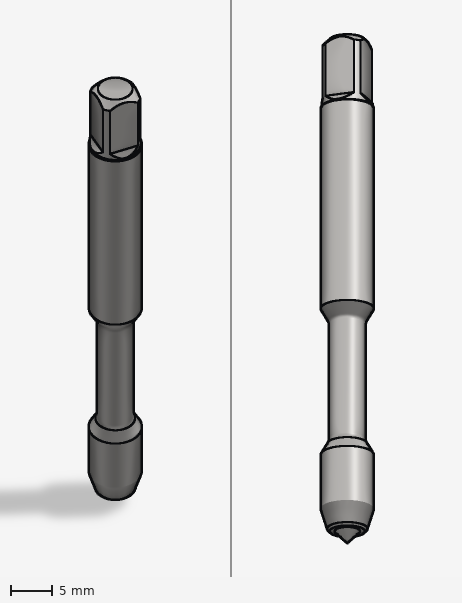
import cadquery as cq
import math

total_length = 65.05
tip_face_z = 1.55
tip_chamfer_z = 1.9
lead_top_z = 4.4
head_top_z = 11.45
shank_bottom_z = 30.3
shank_top_z = 56.2
flats_bottom_z = 57.25

body_radius = 6.5 / 2
neck_radius = 4.55 / 2
tang_radius = 6.25 / 2
tang_top_radius = 4.2 / 2
lead_tip_radius = 2.5
tip_face_radius = 2.15
point_radius = 1.55

square_width = 5.0
runout_angle = math.radians(37)
neck_cone_angle = math.radians(30)
neck_fillet = 1.2

cone_height = (body_radius - neck_radius) / math.tan(neck_cone_angle)
fillet_tangent = neck_fillet * math.tan(neck_cone_angle / 2)
fillet_end_radius = neck_radius + fillet_tangent * math.sin(neck_cone_angle)
fillet_end_offset = cone_height - fillet_tangent * math.cos(neck_cone_angle)
fillet_start_offset = cone_height + fillet_tangent
fillet_mid_radius = neck_radius + neck_fillet * (1 - math.cos(neck_cone_angle / 2))
fillet_mid_offset = fillet_start_offset - neck_fillet * math.sin(neck_cone_angle / 2)

joint_z = head_top_z + fillet_end_offset


def make_head():
    """Cutting head: centre point, tapered lead, cylinder and cone up to the joint."""
    profile = (
        cq.Workplane("XZ")
        .moveTo(0, 0)
        .lineTo(point_radius, tip_face_z)
        .lineTo(tip_face_radius, tip_face_z)
        .lineTo(lead_tip_radius, tip_chamfer_z)
        .lineTo(body_radius, lead_top_z)
        .lineTo(body_radius, head_top_z)
        .lineTo(fillet_end_radius, joint_z)
        .lineTo(0, joint_z)
        .close()
    )
    return profile.revolve(360, (0, 0, 0), (0, 1, 0))


def make_round_shank():
    """Filleted neck, shank and tang before the drive flats are cut."""
    shoulder_chamfer = body_radius - tang_radius
    top_chamfer = tang_radius - tang_top_radius
    profile = (
        cq.Workplane("XZ")
        .moveTo(0, joint_z)
        .lineTo(fillet_end_radius, joint_z)
        .threePointArc(
            (fillet_mid_radius, head_top_z + fillet_mid_offset),
            (neck_radius, head_top_z + fillet_start_offset),
        )
        .lineTo(neck_radius, shank_bottom_z - fillet_start_offset)
        .threePointArc(
            (fillet_mid_radius, shank_bottom_z - fillet_mid_offset),
            (fillet_end_radius, shank_bottom_z - fillet_end_offset),
        )
        .lineTo(body_radius, shank_bottom_z)
        .lineTo(body_radius, shank_top_z)
        .lineTo(tang_radius, shank_top_z + shoulder_chamfer)
        .lineTo(tang_radius, total_length - top_chamfer)
        .lineTo(tang_top_radius, total_length)
        .lineTo(0, total_length)
        .close()
    )
    return profile.revolve(360, (0, 0, 0), (0, 1, 0))


def make_flat_cutter():
    """Wedge that cuts the +X drive flat, with a sloping run-out at its foot."""
    flat_x = square_width / 2
    runout_length = (body_radius - flat_x) / math.tan(runout_angle)
    return (
        cq.Workplane("XZ")
        .moveTo(flat_x, flats_bottom_z)
        .lineTo(body_radius, flats_bottom_z - runout_length)
        .lineTo(body_radius, total_length)
        .lineTo(flat_x, total_length)
        .close()
        .extrude(body_radius, both=True)
    )


def make_shank():
    """Neck, round shank and square drive."""
    shank = make_round_shank()
    flat_cutter = make_flat_cutter()
    for angle in (0, 90, 180, 270):
        shank = shank.cut(flat_cutter.rotate((0, 0, 0), (0, 0, 1), angle))
    return shank


head = make_head()
shank = make_shank()

result = cq.Compound.makeCompound([head.val(), shank.val()])